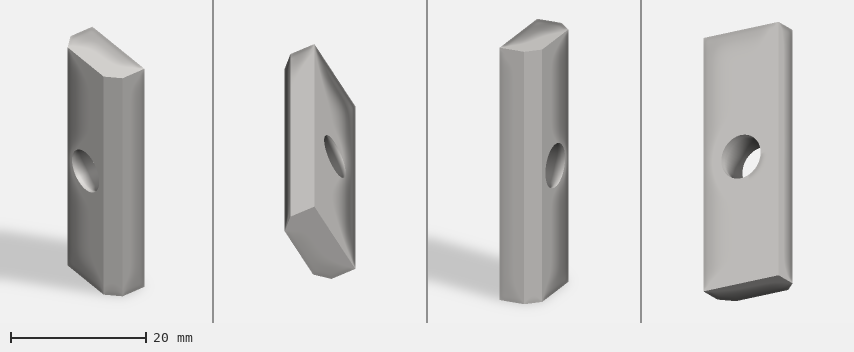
import cadquery as cq

width = 13.0
depth = 6.0
length = 40.0

chamfer = 2.0
hole_diameter = 6.8

bar = cq.Workplane("XY").box(width, depth, length)

bar = bar.faces("<Y").edges("|Z").chamfer(chamfer)

result = bar.faces("<Y").workplane(centerOption="CenterOfBoundBox").hole(hole_diameter)